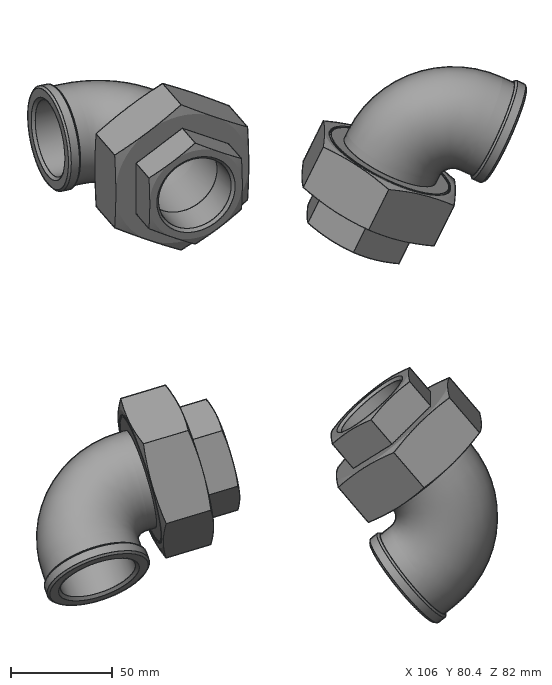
import cadquery as cq
import math


pipe_radius = 25.0
bend_radius = 32.0
passage_radius = 21.8

inlet_face_y = -44.9
band_radius = 26.5
band_length = 6.5
band_chamfer = 1.1

bore_radius = 19.4
bore_depth = 19.1
bore_chamfer = 1.5

nut_start_x = 36.4
nut_end_x = 62.4
nut_across_flats = 71.0

outlet_face_x = 79.5
outlet_across_flats = 49.4

hex_chamfer_angle = 15.0

flange_radius = 32.4
nut_bore_radius = 33.0
flange_chamfer = 0.5
ring_depth = 0.6


def revolve_about_x(points):
    return cq.Workplane("XY").polyline(points).close().revolve(360, (0, 0, 0), (1, 0, 0))


def chamfered_hexagon(across_flats, start_x, end_x, chamfer_start, chamfer_end):
    """Hexagonal prism along X, corners at +Z and -Z, with conical end chamfers."""
    flat_radius = across_flats / 2
    corner_radius = flat_radius / math.cos(math.pi / 6)
    chamfer_length = (corner_radius - flat_radius) * math.tan(math.radians(hex_chamfer_angle))
    prism = (
        cq.Workplane("YZ", origin=(start_x, 0, 0))
        .polygon(6, 2 * corner_radius)
        .extrude(end_x - start_x)
        .rotate((0, 0, 0), (1, 0, 0), 90)
    )
    start_radius = flat_radius if chamfer_start else corner_radius
    end_radius = flat_radius if chamfer_end else corner_radius
    envelope = revolve_about_x(
        [
            (start_x, 0),
            (start_x, start_radius),
            (start_x + chamfer_length, corner_radius),
            (end_x - chamfer_length, corner_radius),
            (end_x, end_radius),
            (end_x, 0),
        ]
    )
    return prism.intersect(envelope)


def elbow_bar(radius, inlet_end_y, outlet_end_x):
    """Solid round bar along -Y, through the quarter bend, and out along +X."""
    path = (
        cq.Workplane("XY")
        .moveTo(0, inlet_end_y)
        .lineTo(0, -bend_radius)
        .radiusArc((bend_radius, 0), bend_radius)
        .lineTo(outlet_end_x, 0)
    )
    return cq.Workplane("XZ", origin=(0, inlet_end_y, 0)).circle(radius).sweep(path)


def passage():
    """Wide inner passage, stopped by a flat step at the bottom of each end bore."""
    step_y = inlet_face_y + bore_depth
    step_x = outlet_face_x - bore_depth
    room_size = 2 * step_x
    inside_of_step = cq.Workplane("XY", origin=(0, step_y, 0)).box(
        room_size, room_size, room_size, centered=(True, False, True)
    )
    return elbow_bar(passage_radius, inlet_face_y, step_x).intersect(inside_of_step)


def inlet_band():
    return (
        cq.Workplane("XZ", origin=(0, inlet_face_y, 0))
        .circle(band_radius)
        .extrude(-band_length)
        .edges()
        .chamfer(band_chamfer)
    )


def end_bore():
    """Countersunk bore running along +X from a mouth at the origin."""
    return revolve_about_x(
        [
            (0, 0),
            (0, bore_radius + bore_chamfer),
            (bore_chamfer, bore_radius),
            (bore_depth, bore_radius),
            (bore_depth, 0),
        ]
    )


def clearance_ring():
    """Narrow groove in the nut face; its inner wall is the chamfered flange edge."""
    return revolve_about_x(
        [
            (nut_start_x, flange_radius - flange_chamfer),
            (nut_start_x + flange_chamfer, flange_radius),
            (nut_start_x + ring_depth, flange_radius),
            (nut_start_x + ring_depth, nut_bore_radius),
            (nut_start_x, nut_bore_radius),
        ]
    )


nut = chamfered_hexagon(nut_across_flats, nut_start_x, nut_end_x, True, True)
outlet = chamfered_hexagon(outlet_across_flats, nut_end_x, outlet_face_x, False, True)

inlet_bore = end_bore().rotate((0, 0, 0), (0, 0, 1), 90).translate((0, inlet_face_y, 0))
outlet_bore = end_bore().rotate((0, 0, 0), (0, 0, 1), 180).translate((outlet_face_x, 0, 0))

result = (
    nut.cut(clearance_ring())
    .union(outlet)
    .union(elbow_bar(pipe_radius, inlet_face_y, nut_end_x))
    .union(inlet_band())
    .cut(passage())
    .cut(inlet_bore)
    .cut(outlet_bore)
)